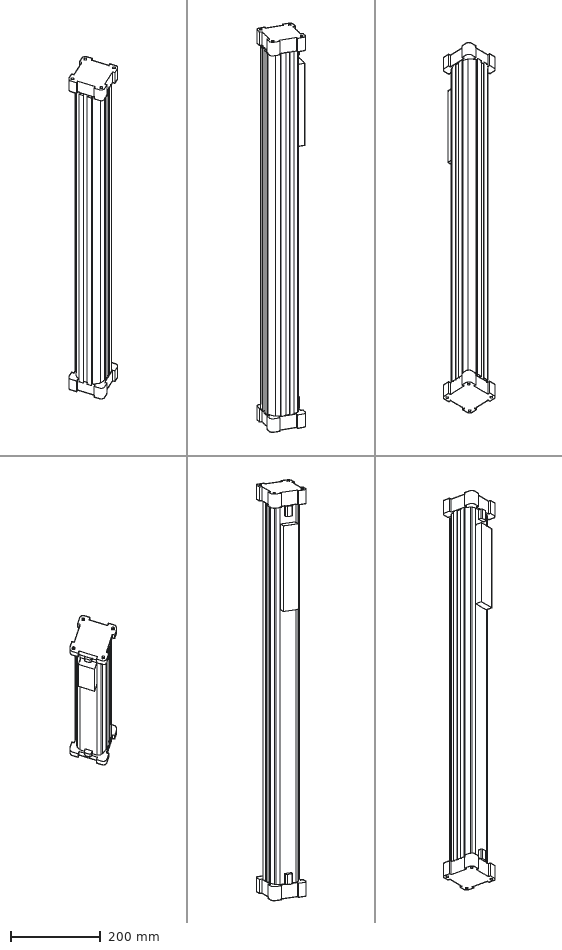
import cadquery as cq


total_length = 950.0

cap_size = 87.0
cap_height = 33.0
cap_corner_radius = 8.5
cap_recess_width = 43.0
cap_recess_depth = 5.75
thread_diameter = 6.0
thread_depth = 12.0
tap_drill_diameter = 4.92
tap_drill_depth = 15.0
screw_spacing = 70.0

holder_length = 24.0
holder_width = 16.8
holder_chamfer = 3.0
holder_back = 42.5

tube_half_width = cap_size / 2 - cap_recess_depth
tube_front = -cap_size / 2
tube_back = 33.5
rail_outer = 15.7
rail_inner = 4.3
rail_undercut = 3.0
front_root = -38.3
side_root = 34.4
corner_side_x = 30.1
corner_side_y = 26.8
corner_face_x = 27.4
corner_face_y = 30.0
back_flat_half_width = 20.0

carriage_width = 38.0
carriage_length = 200.0
carriage_back = 49.5
carriage_top_gap = 75.0

half_length = total_length / 2
tube_length = total_length - 2 * cap_height


def mirrored_x(points):
    """The same points on the other side of the YZ plane, in reverse order."""
    return [(-x, y) for x, y in reversed(points)]


def rail_pair(root, tip):
    """(along, outward) points of two dovetail rails beside a groove, in the order of rising 'along'."""
    half = [
        (rail_inner + rail_undercut, root),
        (rail_inner, tip),
        (rail_outer, tip),
        (rail_outer - rail_undercut, root),
        (rail_outer, root),
    ]
    return mirrored_x(half) + half


def make_tube():
    front_rails = rail_pair(front_root, tube_front)
    right_rails = [(x, y) for y, x in rail_pair(side_root, tube_half_width)]
    right_side = [
        (corner_face_x, -corner_face_y),
        (corner_side_x, -corner_side_y),
        *right_rails,
        (corner_side_x, corner_side_y),
        (corner_face_x, corner_face_y),
        (back_flat_half_width, tube_back),
    ]
    outline = front_rails + right_side + mirrored_x(right_side)
    profile = (
        cq.Workplane("XY", origin=(0, 0, -tube_length / 2))
        .polyline(outline)
        .close()
        .extrude(tube_length)
    )
    return profile.union(make_carriage_plate())


def make_carriage_plate():
    """Plate on the back of the tube, part of the tube's solid."""
    plate_thickness = carriage_back - tube_back
    plate_top = half_length - carriage_top_gap
    return (
        cq.Workplane("XY", origin=(0, tube_back + plate_thickness / 2, plate_top - carriage_length))
        .rect(carriage_width, plate_thickness)
        .extrude(carriage_length)
    )


def make_top_cap():
    cap_bottom = half_length - cap_height
    block = (
        cq.Workplane("XY", origin=(0, 0, cap_bottom))
        .rect(cap_size, cap_size)
        .extrude(cap_height)
        .edges("|Z")
        .fillet(cap_corner_radius)
    )
    recess_center = cap_size / 2
    recesses = (
        cq.Workplane("XY", origin=(0, 0, cap_bottom))
        .pushPoints([(recess_center, 0), (-recess_center, 0)])
        .rect(2 * cap_recess_depth, cap_recess_width)
        .pushPoints([(0, recess_center), (0, -recess_center)])
        .rect(cap_recess_width, 2 * cap_recess_depth)
        .extrude(cap_height)
    )
    cap = block.cut(recesses).union(make_band_holder(cap_bottom))
    cap = cap.cut(make_screw_holes(thread_diameter, thread_depth))
    return cap.cut(make_screw_holes(tap_drill_diameter, tap_drill_depth))


def make_screw_holes(diameter, depth):
    """Cutters at the four corners, sunk from the outer face of the top cap."""
    return (
        cq.Workplane("XY", origin=(0, 0, half_length - depth))
        .rect(screw_spacing, screw_spacing, forConstruction=True)
        .vertices()
        .circle(diameter / 2)
        .extrude(depth)
    )


def make_band_holder(cap_bottom):
    half_width = holder_width / 2
    return (
        cq.Workplane("XY", origin=(0, 0, cap_bottom - holder_length))
        .moveTo(-half_width, tube_back)
        .lineTo(half_width, tube_back)
        .lineTo(half_width, holder_back - holder_chamfer)
        .lineTo(half_width - holder_chamfer, holder_back)
        .lineTo(holder_chamfer - half_width, holder_back)
        .lineTo(-half_width, holder_back - holder_chamfer)
        .close()
        .extrude(holder_length)
    )


tube = make_tube()
top_cap = make_top_cap()
bottom_cap = top_cap.mirror("XY")

result = cq.Compound.makeCompound([tube.val(), top_cap.val(), bottom_cap.val()])